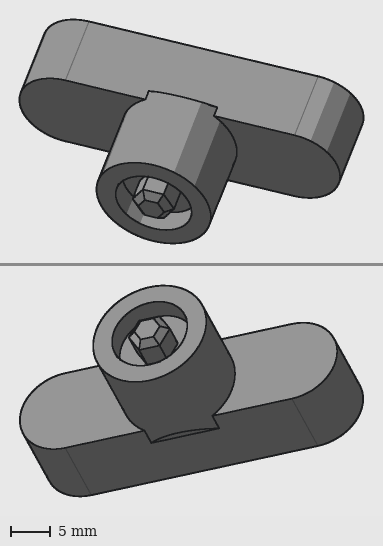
import cadquery as cq
import math

plate_length = 42.0
plate_height = 12.0
plate_depth = 10.0

boss_diameter = 15.0
boss_reach = 11.0
boss_radius = boss_diameter / 2

upper_slope_start = 0.6
upper_slope_angle = 60.0
lower_slope_start = 0.05
lower_slope_angle = 30.0

socket_diameter = 9.95
socket_depth = 3.0
post_across_flats = 4.7
post_protrusion = 1.0
post_bevel = 0.9


def front_plane(y):
    """Sketch plane at the given Y, facing forward (-Y)."""
    return cq.Workplane("XZ", origin=(0, y, 0))


def make_plate():
    return front_plane(plate_depth).slot2D(plate_length, plate_height).extrude(plate_depth)


def make_boss():
    """Cylinder whose rear end is a wedge buried in the plate."""
    upper_slope = math.tan(math.radians(upper_slope_angle))
    lower_slope = math.tan(math.radians(lower_slope_angle))
    tip_y = (
        boss_diameter + upper_slope * upper_slope_start + lower_slope * lower_slope_start
    ) / (upper_slope + lower_slope)
    tip_z = boss_radius - upper_slope * (tip_y - upper_slope_start)
    side_profile = (
        cq.Workplane("YZ")
        .polyline([
            (-boss_reach, boss_radius),
            (upper_slope_start, boss_radius),
            (tip_y, tip_z),
            (lower_slope_start, -boss_radius),
            (-boss_reach, -boss_radius),
        ])
        .close()
        .extrude(boss_radius, both=True)
    )
    cylinder = front_plane(tip_y).circle(boss_radius).extrude(tip_y + boss_reach)
    return cylinder.intersect(side_profile)


def make_socket():
    return front_plane(socket_depth - boss_reach).circle(socket_diameter / 2).extrude(socket_depth)


def make_post():
    """Hexagonal post with corners along X and a bevelled front end."""
    return (
        front_plane(socket_depth - boss_reach)
        .polygon(6, post_across_flats / math.cos(math.pi / 6))
        .extrude(socket_depth + post_protrusion)
        .faces("<Y")
        .chamfer(post_bevel)
    )


result = make_plate().union(make_boss()).cut(make_socket()).union(make_post())